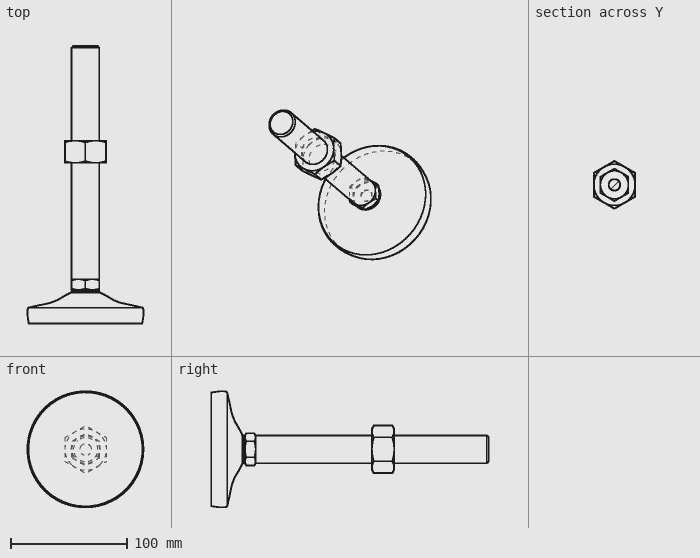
import cadquery as cq
import math

total_length = 238.5

pad_diameter = 100.0
sole_diameter = 97.8
band_bottom = 7.2
band_top = 11.5
rim_top = 13.8
rim_inset = 1.0
rim_mid_inset = 0.2
rim_mid_height = 12.6
cone_top = 26.7
pad_top = 28.0
pad_top_diameter = 25.0
pad_top_chamfer = 0.7
flank_radius = 25.3
flank_height = 19.8
crown_mid_radius = 19.0
crown_mid_height = 23.4
skirt_mid_radius = 34.8
skirt_mid_height = 17.0

stem_diameter = 24.0
stem_chamfer = 1.7
neck_diameter = 10.0

wrench_flats = 24.0
wrench_bottom = 29.0
wrench_height = 9.0
nut_flats = 35.5
nut_bottom = 138.0
nut_height = 19.0
hex_chamfer_angle = 30.0


def cylinder(diameter, start, end):
    """Solid cylinder on the Y axis from start to end."""
    plane = cq.Workplane("XZ", origin=(0, start, 0))
    return plane.circle(diameter / 2).extrude(start - end)


def chamfered_hexagon(across_flats, start, height):
    """Hexagonal prism with corners along Z, cut by a cone at both ends."""
    across_corners = across_flats / math.cos(math.radians(30))
    prism = (
        cq.Workplane("XZ", origin=(0, start, 0))
        .transformed(rotate=(0, 0, 90))
        .polygon(6, across_corners)
        .extrude(-height)
    )
    face_radius = across_flats / 2
    corner_radius = across_corners / 2
    drop = (corner_radius - face_radius) * math.tan(math.radians(hex_chamfer_angle))
    end = start + height
    envelope = (
        cq.Workplane("XY")
        .moveTo(0, start)
        .lineTo(face_radius, start)
        .lineTo(corner_radius, start + drop)
        .lineTo(corner_radius, end - drop)
        .lineTo(face_radius, end)
        .lineTo(0, end)
        .close()
        .revolve(360, (0, 0, 0), (0, 1, 0))
    )
    return prism.intersect(envelope)


def make_pad():
    """Round pad: tapered sole, straight band and a bell-shaped upper side."""
    pad_radius = pad_diameter / 2
    top_radius = pad_top_diameter / 2
    bell_curve = [
        (skirt_mid_radius, skirt_mid_height),
        (flank_radius, flank_height),
        (crown_mid_radius, crown_mid_height),
        (top_radius, cone_top),
    ]
    profile = (
        cq.Workplane("XY")
        .lineTo(sole_diameter / 2, 0)
        .lineTo(pad_radius, band_bottom)
        .lineTo(pad_radius, band_top)
        .threePointArc((pad_radius - rim_mid_inset, rim_mid_height), (pad_radius - rim_inset, rim_top))
        .spline(bell_curve, includeCurrent=True)
        .lineTo(top_radius - pad_top_chamfer, pad_top)
        .lineTo(0, pad_top)
        .close()
    )
    return profile.revolve(360, (0, 0, 0), (0, 1, 0))


def make_stem():
    """Plain stem above the wrench hexagon, chamfered at its free end."""
    stem = cylinder(stem_diameter, wrench_bottom + wrench_height, total_length)
    return stem.faces(">Y").chamfer(stem_chamfer)


neck = cylinder(neck_diameter, pad_top, wrench_bottom)
wrench_hexagon = chamfered_hexagon(wrench_flats, wrench_bottom, wrench_height)
lock_nut = chamfered_hexagon(nut_flats, nut_bottom, nut_height)

result = make_pad().union(neck).union(wrench_hexagon).union(make_stem()).union(lock_nut)